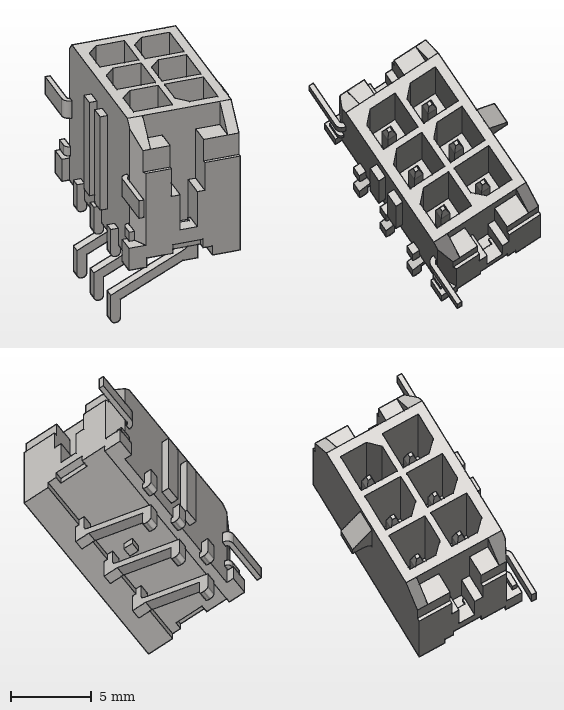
import cadquery as cq


pitch = 3.0
columns = (-1, 0, 1)
front_row_y = 1.95
back_row_y = front_row_y + pitch
pin_width = 0.65

core_half_width = 4.93
flange_half_width = 6.56
upper_half_width = 6.35
depth = 6.88
height = 9.89
flange_step_z = 6.71
shoulder_z = 8.25
standoff = 0.5

bevel_start_x = 5.36
bevel_depth = 0.62

front_ramp_length = 1.02
back_ramp_length = 0.75

slot_front_y, slot_back_y = 2.31, 4.53
slot_bottom_z = 4.73
keyway_front_y, keyway_back_y = 2.9, 4.03
keyway_bottom_z = 2.23
pocket_outer_x, pocket_step_x = 5.65, 5.3
pocket_front_y, pocket_back_y = 3.05, 3.85
pocket_depth = 0.33

lip_front_y, lip_back_y = 0.68, 5.03
lip_height = 0.65
end_recess_front_y, end_recess_back_y = 2.41, 4.41
end_recess_top_z = 1.27
end_recess_depth = 0.5
peg_y = depth / 2

cavity_size = 2.58
cavity_floor_z = 2.0
cavity_chamfer = 0.72
pin_top_z = 7.33
pin_point_height = 1.0
pin_point_width = 0.27

foot_height = 1.58
rib_inner_x, rib_outer_x = 0.48, 1.45

latch_half_width = 0.72
latch_reach = 1.4
latch_top_z = 9.39
latch_nose_top_z = 7.68
latch_underside_z = 6.95
latch_fillet = 0.73

tab_half_span = 8.32
tab_inner_x = 4.91
tab_bottom_z, tab_top_z = 4.66, 5.91
tab_thickness = 0.33
tab_bend_radius = 0.48
clip_inner_x, clip_outer_x = 5.13, 6.21
clip_bottom_z, clip_top_z = 1.86, 2.51
clip_thickness = 0.35

tail_tip_back_y = pin_width - standoff
front_tail_top_z, front_tail_bottom_z = 1.2, -0.78
back_tail_bottom_z = -5.51
tail_elbow_z = -1.96
tail_elbow_y = 4.26
tail_inner_bend_z = -1.08
tail_toe_top_z, tail_toe_bottom_z = -3.5, -3.91
tail_inner_radius = 0.5
tail_tip_radius = 0.3


def block(x_range, y_range, z_range):
    """Box spanning the given coordinate ranges."""
    (x0, x1), (y0, y1), (z0, z1) = x_range, y_range, z_range
    return cq.Workplane("XY").box(x1 - x0, y1 - y0, z1 - z0, centered=False).translate((x0, y0, z0))


def mirror_x(shape):
    """The shape together with its mirror image across X = 0."""
    return shape.union(shape.mirror("YZ"))


def bevelled_slab(half_width, bottom_z, top_z):
    """Full-width slab whose front corners lie on the bevel planes."""
    bevel_y = bevel_depth * (half_width - bevel_start_x) / (flange_half_width - bevel_start_x)
    outline = [
        (-bevel_start_x, 0), (bevel_start_x, 0), (half_width, bevel_y),
        (half_width, depth), (-half_width, depth), (-half_width, bevel_y),
    ]
    return cq.Workplane("XY").workplane(offset=bottom_z).polyline(outline).close().extrude(top_z - bottom_z)


def make_housing():
    lower = bevelled_slab(flange_half_width, 0, flange_step_z)
    upper = bevelled_slab(upper_half_width, flange_step_z, height)
    core = block((-core_half_width, core_half_width), (0, depth), (0, height))

    end_cut = block((core_half_width, flange_half_width),
                    (front_ramp_length, depth - back_ramp_length), (shoulder_z, height))
    corner_cut = (
        cq.Workplane("XZ")
        .polyline([(core_half_width, height), (flange_half_width, height),
                   (flange_half_width, shoulder_z), (upper_half_width, shoulder_z)])
        .close().extrude(-depth)
    )
    upper = upper.cut(mirror_x(end_cut.union(corner_cut)))
    return core.union(lower).union(upper)


def make_end_slot():
    slot = block((core_half_width, flange_half_width), (slot_front_y, slot_back_y), (slot_bottom_z, height))
    keyway = block((core_half_width, flange_half_width),
                   (keyway_front_y, keyway_back_y), (keyway_bottom_z, height))
    pocket_z = (keyway_bottom_z - pocket_depth, keyway_bottom_z)
    pocket = block((core_half_width, pocket_step_x), (keyway_front_y, keyway_back_y), pocket_z)
    pocket_neck = block((pocket_step_x, pocket_outer_x), (pocket_front_y, pocket_back_y), pocket_z)
    return mirror_x(slot.union(keyway).union(pocket).union(pocket_neck))


def make_underside_cut():
    channel = block((-flange_half_width, flange_half_width), (lip_front_y, lip_back_y), (0, lip_height))
    recess = block((flange_half_width - end_recess_depth, flange_half_width),
                   (end_recess_front_y, end_recess_back_y), (lip_height, end_recess_top_z))
    return channel.union(mirror_x(recess))


def make_cavity(x, y, chamfered_side):
    """Square pocket with its front corner on the given side (-1 or 1) chamfered."""
    half = cavity_size / 2
    inner = half - cavity_chamfer
    outline = [
        (-half, half), (half, half), (half, -half), (-inner, -half), (-half, -inner),
    ]
    points = [(x - chamfered_side * u, y + v) for u, v in outline]
    return (
        cq.Workplane("XY").workplane(offset=cavity_floor_z)
        .polyline(points).close().extrude(height - cavity_floor_z)
    )


def make_mating_pin(x, y):
    """Square pin with a blunt pyramid point."""
    half = pin_width / 2
    shaft = block((x - half, x + half), (y - half, y + half), (lip_height, pin_top_z - pin_point_height))
    point = (
        cq.Workplane("XY").workplane(offset=pin_top_z - pin_point_height).center(x, y)
        .rect(pin_width, pin_width)
        .workplane(offset=pin_point_height).rect(pin_point_width, pin_point_width).loft()
    )
    return shaft.union(point)


def make_front_tail(x):
    half = pin_width / 2
    tail = block((x - half, x + half), (-standoff, tail_tip_back_y), (front_tail_bottom_z, front_tail_top_z))
    return tail.edges("|X and <Z").fillet(tail_tip_radius)


def make_back_tail(x):
    """Cranked tail running down, forward on a slope and down again."""
    half = pin_width / 2
    outline = [
        (back_row_y + half, lip_height), (back_row_y + half, tail_elbow_z), (tail_elbow_y, tail_elbow_z),
        (tail_tip_back_y, tail_toe_bottom_z), (tail_tip_back_y, back_tail_bottom_z),
        (-standoff, back_tail_bottom_z), (-standoff, tail_toe_top_z),
        (back_row_y - half, tail_inner_bend_z), (back_row_y - half, lip_height),
    ]
    tail = cq.Workplane("YZ").workplane(offset=x - half).polyline(outline).close().extrude(pin_width)
    tail = tail.edges("|X and <Z").fillet(tail_tip_radius)
    inner_bend = cq.selectors.NearestToPointSelector((x, back_row_y - half, tail_inner_bend_z))
    return tail.edges(inner_bend).fillet(tail_inner_radius)


def make_latch():
    nose_y = depth + latch_reach
    return (
        cq.Workplane("YZ").workplane(offset=-latch_half_width)
        .moveTo(depth, latch_top_z)
        .lineTo(nose_y, latch_nose_top_z)
        .lineTo(nose_y, latch_underside_z)
        .lineTo(depth + latch_fillet, latch_underside_z)
        .radiusArc((depth, latch_underside_z - latch_fillet), -latch_fillet)
        .close().extrude(2 * latch_half_width)
    )


def make_solder_tabs():
    """Flat tabs that bend round into the front face."""
    inner_radius = tab_bend_radius - tab_thickness
    tab_back_y = tab_thickness - standoff
    bend_x = tab_inner_x + tab_bend_radius
    tab = (
        cq.Workplane("XY").workplane(offset=tab_bottom_z)
        .moveTo(tab_inner_x, 0)
        .lineTo(tab_inner_x, tab_bend_radius - standoff)
        .radiusArc((bend_x, -standoff), -tab_bend_radius)
        .lineTo(tab_half_span, -standoff)
        .lineTo(tab_half_span, tab_back_y)
        .lineTo(bend_x, tab_back_y)
        .radiusArc((bend_x - inner_radius, tab_back_y + inner_radius), inner_radius)
        .lineTo(bend_x - inner_radius, 0)
        .close().extrude(tab_top_z - tab_bottom_z)
    )
    return mirror_x(tab)


def make_clips():
    """Small plates beside the feet, rounded at their inner ends."""
    clip = (
        cq.Workplane("XY").workplane(offset=clip_bottom_z)
        .moveTo(clip_inner_x, 0)
        .radiusArc((clip_inner_x + clip_thickness, -clip_thickness), -clip_thickness)
        .lineTo(clip_outer_x, -clip_thickness)
        .lineTo(clip_outer_x, 0)
        .close().extrude(clip_top_z - clip_bottom_z)
    )
    return mirror_x(clip)


result = make_housing().cut(make_end_slot()).cut(make_underside_cut())
for column in columns:
    x = column * pitch
    result = result.cut(make_cavity(x, front_row_y, -1))
    result = result.cut(make_cavity(x, back_row_y, 1 if column == columns[-1] else -1))

foot = block((bevel_start_x, flange_half_width), (-standoff, lip_front_y), (0, foot_height))
rib = block((rib_inner_x, rib_outer_x), (-standoff, 0), (foot_height, shoulder_z))
peg = block((-pin_width / 2, pin_width / 2), (peg_y - pin_width / 2, peg_y + pin_width / 2), (0, lip_height))
result = result.union(mirror_x(foot)).union(mirror_x(rib)).union(make_latch()).union(peg)

result = result.union(make_solder_tabs()).union(make_clips())
for column in columns:
    x = column * pitch
    result = result.union(make_mating_pin(x, front_row_y)).union(make_mating_pin(x, back_row_y))
    result = result.union(make_front_tail(x)).union(make_back_tail(x))